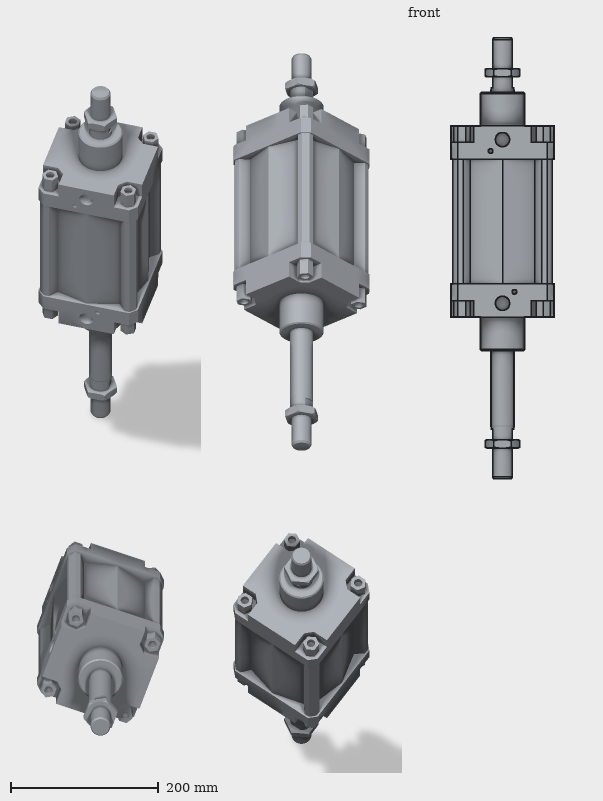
import cadquery as cq
import math


ROD_LENGTH = 598.0
ROD_DIAMETER = 31.5
THREAD_DIAMETER = 27.0
THREAD_CHAMFER_LENGTH = 3.0
THREAD_CHAMFER_WIDTH = 2.0
SHOULDER_HEIGHT = 246.0
NECK_START = 228.5
NECK_TAPER_LENGTH = 2.5
NECK_DIAMETER = 31.0
FLATS_START = 231.5
FLATS_WIDTH = 27.0

NUT_WIDTH = 40.5
NUT_THICKNESS = 11.5
NUT_CHAMFER_ANGLE = 30.0
NUT_FACE_DIAMETER = 42.0

HOUSING_WIDTH = 140.0
HOUSING_BOTTOM = -79.5
COVER_THICKNESS = 45.0
BARREL_LENGTH = 169.0
CORNER_CHAMFER = 9.5
BOSS_DIAMETER = 60.0
BOSS_LENGTH = 45.5
BOSS_CHAMFER = 2.0

POCKET_INSET = 31.0
POCKET_DEPTH = 22.0
POCKET_CHAMFER = 9.5
TIE_ROD_OFFSET = 55.0
TIE_NUT_WIDTH = 19.0
SOCKET_DIAMETER = 11.5
SOCKET_DEPTH = 9.0
SOCKET_TIP_ANGLE = 118.0

BARREL_HALF_WIDTH = 67.5
POST_INNER = 53.0
POST_CHAMFER = 7.0
VALLEY_OFFSET = 43.5
VALLEY_DEPTH = 11.5

PORT_DIAMETER = 19.0
PORT_DEPTH = 24.0
PORT_INSET = 18.5
SCREW_HOLE_DIAMETER = 6.0
SCREW_HOLE_DEPTH = 9.0
SCREW_HOLE_INSET = 34.0
SCREW_HOLE_OFFSET = 16.0

HOUSING_LENGTH = 2 * COVER_THICKNESS + BARREL_LENGTH
HOUSING_MIDDLE = HOUSING_BOTTOM + HOUSING_LENGTH / 2
CORNERS = [(1, 1), (-1, 1), (-1, -1), (1, -1)]


def hexagon_diameter(across_flats):
    """Corner-to-corner size of a hexagon from its width across flats."""
    return across_flats / math.cos(math.radians(30))


def make_end_cover():
    """Upper cover with its rod boss; the cover's outer face lies at half the housing length."""
    top = HOUSING_LENGTH / 2
    cover = (
        cq.Workplane("XY")
        .workplane(offset=top - COVER_THICKNESS)
        .rect(HOUSING_WIDTH, HOUSING_WIDTH)
        .extrude(COVER_THICKNESS)
        .edges("|Z")
        .chamfer(CORNER_CHAMFER)
    )
    boss = (
        cq.Workplane("XY")
        .workplane(offset=top)
        .circle(BOSS_DIAMETER / 2)
        .extrude(BOSS_LENGTH)
        .faces(">Z")
        .chamfer(BOSS_CHAMFER)
    )
    cover = cover.union(boss)
    for x_sign, y_sign in CORNERS:
        cover = cover.cut(make_corner_pocket(x_sign, y_sign, top))
    return cover


def make_corner_pocket(x_sign, y_sign, top):
    """Square corner cut-out whose innermost corner is bevelled."""
    outer = HOUSING_WIDTH / 2
    inner = outer - POCKET_INSET
    bevel = inner + POCKET_CHAMFER
    outline = [(outer, outer), (inner, outer), (inner, bevel), (bevel, inner), (outer, inner)]
    return (
        cq.Workplane("XY")
        .workplane(offset=top - POCKET_DEPTH)
        .polyline([(x_sign * x, y_sign * y) for x, y in outline])
        .close()
        .extrude(POCKET_DEPTH)
    )


def make_tie_rod_nuts():
    """Hex nuts in the upper corner pockets, flush with the cover face, each with a drilled end."""
    top = HOUSING_LENGTH / 2
    socket_radius = SOCKET_DIAMETER / 2
    tip_length = socket_radius / math.tan(math.radians(SOCKET_TIP_ANGLE / 2))
    socket = cq.Workplane("XY").workplane(offset=top).circle(socket_radius).extrude(-SOCKET_DEPTH)
    tip_base = cq.Vector(0, 0, top - SOCKET_DEPTH)
    socket_tip = cq.Solid.makeCone(socket_radius, 0, tip_length, pnt=tip_base, dir=cq.Vector(0, 0, -1))
    nut = (
        cq.Workplane("XY")
        .workplane(offset=top - POCKET_DEPTH)
        .polygon(6, hexagon_diameter(TIE_NUT_WIDTH))
        .extrude(POCKET_DEPTH)
        .cut(socket)
        .cut(cq.Workplane(socket_tip))
        .translate((TIE_ROD_OFFSET, TIE_ROD_OFFSET, 0))
    )
    nuts = nut
    for turn in (90, 180, 270):
        nuts = nuts.union(nut.rotate((0, 0, 0), (0, 0, 1), turn))
    return nuts


def make_barrel():
    """Four chamfered corner posts joined by sides that rise to a low ridge in the middle."""
    half = BARREL_HALF_WIDTH
    valley = half - VALLEY_DEPTH
    side = [
        (half, -half + POST_CHAMFER),
        (half, -POST_INNER),
        (valley, -VALLEY_OFFSET),
        (half, 0),
        (valley, VALLEY_OFFSET),
        (half, POST_INNER),
        (half, half - POST_CHAMFER),
    ]
    outline = []
    for _ in range(4):
        outline += side
        side = [(-y, x) for x, y in side]
    return (
        cq.Workplane("XY")
        .workplane(offset=-BARREL_LENGTH / 2)
        .polyline(outline)
        .close()
        .extrude(BARREL_LENGTH)
    )


def make_port_holes():
    """Air port and screw hole of the upper cover, drilled from the -Y face."""
    face = cq.Workplane("XZ", origin=(0, -HOUSING_WIDTH / 2, HOUSING_LENGTH / 2))
    port = face.center(0, -PORT_INSET).circle(PORT_DIAMETER / 2).extrude(-PORT_DEPTH)
    screw_hole = (
        face.center(-SCREW_HOLE_OFFSET, -SCREW_HOLE_INSET)
        .circle(SCREW_HOLE_DIAMETER / 2)
        .extrude(-SCREW_HOLE_DEPTH)
    )
    return port.union(screw_hole)


def make_housing():
    """Barrel and two end covers; the lower cover is the upper one turned half round about Y."""
    upper_cover = make_end_cover().cut(make_port_holes())
    lower_cover = upper_cover.rotate((0, 0, 0), (0, 1, 0), 180)
    upper_tie_nuts = make_tie_rod_nuts()
    lower_tie_nuts = upper_tie_nuts.mirror("XY")
    rod_bore = (
        cq.Workplane("XY")
        .circle(ROD_DIAMETER / 2)
        .extrude(HOUSING_LENGTH / 2 + BOSS_LENGTH, both=True)
    )
    housing = make_barrel()
    for piece in (upper_cover, lower_cover, upper_tie_nuts, lower_tie_nuts):
        housing = housing.union(piece)
    housing = housing.cut(rod_bore)
    return housing.translate((0, 0, HOUSING_MIDDLE))


def make_rod():
    """Through rod with a thread and a pair of wrench flats at each end."""
    end = ROD_LENGTH / 2
    rod = (
        cq.Workplane("XY")
        .circle(ROD_DIAMETER / 2)
        .extrude(NECK_START, both=True)
        .faces("<Z or >Z")
        .chamfer(NECK_TAPER_LENGTH, (ROD_DIAMETER - NECK_DIAMETER) / 2)
    )
    neck = cq.Workplane("XY").circle(NECK_DIAMETER / 2).extrude(SHOULDER_HEIGHT, both=True)
    thread = (
        cq.Workplane("XY")
        .circle(THREAD_DIAMETER / 2)
        .extrude(end, both=True)
        .faces("<Z or >Z")
        .chamfer(THREAD_CHAMFER_LENGTH, THREAD_CHAMFER_WIDTH)
    )
    rod = rod.union(neck).union(thread)
    flat_length = SHOULDER_HEIGHT - FLATS_START
    flat_depth = (ROD_DIAMETER - FLATS_WIDTH) / 2
    for x_sign in (-1, 1):
        for z_sign in (-1, 1):
            flat = cq.Workplane("XY").box(flat_depth, ROD_DIAMETER, flat_length)
            x = x_sign * (FLATS_WIDTH + flat_depth) / 2
            z = z_sign * (FLATS_START + flat_length / 2)
            rod = rod.cut(flat.translate((x, 0, z)))
    return rod


def make_nut(z_sign):
    """Chamfered hex nut on the thread, seated against the rod shoulder."""
    nut = (
        cq.Workplane("XY")
        .polygon(6, hexagon_diameter(NUT_WIDTH))
        .extrude(NUT_THICKNESS / 2, both=True)
        .faces(">Z")
        .workplane()
        .hole(THREAD_DIAMETER)
    )
    corner_radius = hexagon_diameter(NUT_WIDTH) / 2
    chamfer_width = corner_radius - NUT_FACE_DIAMETER / 2
    chamfer_height = chamfer_width * math.tan(math.radians(NUT_CHAMFER_ANGLE))
    chamfer_limit = (
        cq.Workplane("XY")
        .circle(corner_radius)
        .extrude(NUT_THICKNESS / 2, both=True)
        .faces("<Z or >Z")
        .chamfer(chamfer_height, chamfer_width)
    )
    z = z_sign * (SHOULDER_HEIGHT + NUT_THICKNESS / 2)
    return nut.intersect(chamfer_limit).translate((0, 0, z))


housing = make_housing()
rod = make_rod()
nuts = [make_nut(z_sign) for z_sign in (-1, 1)]

result = cq.Compound.makeCompound([housing.val(), rod.val(), *[nut.val() for nut in nuts]])